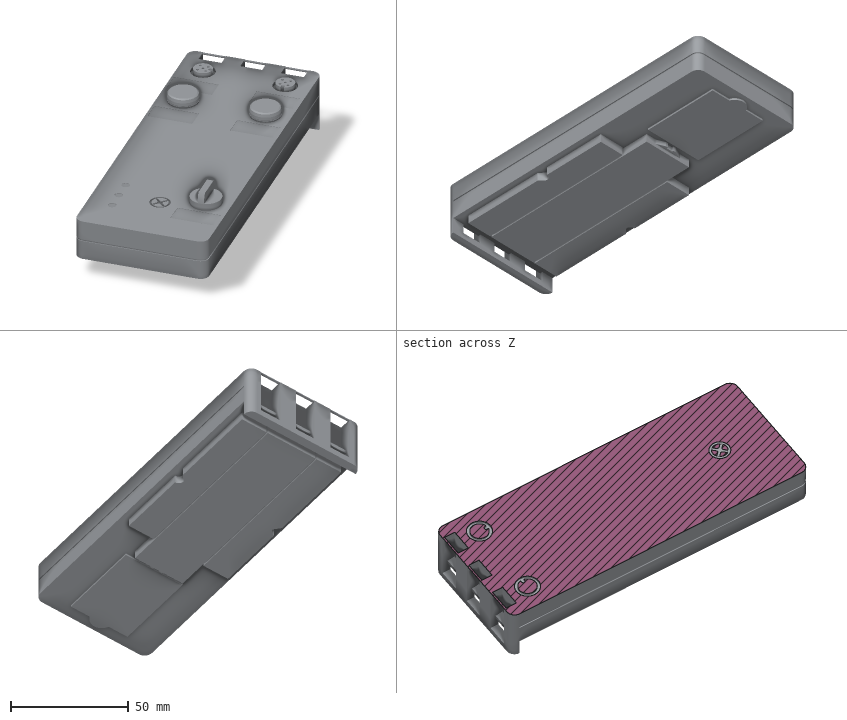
import cadquery as cq
import math

LENGTH = 152.0
WIDTH = 59.6
BODY_HEIGHT = 18.4
CORNER_RADIUS = 4.0
SEAM_HEIGHT = 0.8
SEAM_DEPTH = 0.5
SEAM_CENTER_Z = -9.3

FLANGE_HEIGHT = 26.1
FLANGE_THICKNESS = 4.0

COLUMN_X = 18.5

SIDE_WINDOW_WIDTH = 10.3
MIDDLE_WINDOW_WIDTH = 9.9
WINDOW_DEPTH = 6.1
WINDOW_BOTTOM_Z = -23.1
WINDOW_FLOOR_Z = -16.7
WINDOW_FLOOR_SETBACK = 2.6
WINDOW_FLOOR_RISE = 0.6
BRIDGE_THICKNESS = 1.0
BRIDGE_HEIGHT = 0.5
BRIDGE_TOP_Z = -0.2

SOCKET_Y = 60.6
SOCKET_RADIUS = 5.5
SOCKET_DEPTH = 1.5
INSERT_RADIUS = 4.3
INSERT_HEIGHT = 1.5
CONTACT_RADIUS = 0.6
CONTACT_DEPTH = 1.5
CONTACT_OFFSET = 1.8
KEY_RADIUS = 0.8
KEY_CENTER_RADIUS = 3.3

CAP_Y = 34.7
CAP_RADIUS = 7.0
CAP_HEIGHT = 4.4
CAP_FOOT_RADIUS = 6.8
CAP_RIM_RADIUS = 6.7
CAP_TOP_RADIUS = 6.1
CAP_BAND_TOP = 2.6
CAP_RIM_HEIGHT = 4.0
CAP_GROOVE_BOTTOM = 0.8
CAP_GROOVE_TOP = 1.2
CAP_GROOVE_RADIUS = 6.7

DIAL_Y = -43.6
DIAL_RADIUS = 7.0
DIAL_HEIGHT = 3.2
GRIP_WIDTH = 2.9
GRIP_TOP_Z = 7.9
GRIP_BASE_LENGTH = 14.0
GRIP_TOP_LENGTH = 11.2
GRIP_END_RADIUS = 12.2

INLAY_DEPTH = 0.2
LABEL_LENGTH = 20.0
LABEL_WIDTH = 9.1
LABEL_UPPER_Y = 47.5
LABEL_LOWER_Y = 21.7
LABEL_DIAL_Y = -56.4
LIGHT_RADIUS = 1.8
LIGHT_CENTER_Y = -49.9
LIGHT_PITCH = 9.0

SCREW_HOLE_RADIUS = 4.5
SCREW_HEAD_RADIUS = 3.6
SCREW_RECESS = 0.8
CROSS_WIDTH = 1.0
CROSS_CENTER_WIDTH = 2.5
CROSS_LENGTH = 7.0
CROSS_DEPTH = 0.9

PAD_DEPTH = 4.1
PAD_BACK_Y = 66.3
SIDE_PAD_FRONT_Y = -13.8
SIDE_PAD_INNER_X = 13.4
SIDE_PAD_OUTER_X = 26.5
MIDDLE_PAD_FRONT_Y = -27.7
MIDDLE_PAD_WIDTH = 25.4
NOTCH_BACK_Y = 24.3
NOTCH_RADIUS = 2.6
NOTCH_FLANK_LENGTH = 2.9

LATCH_BASE_WIDTH = 14.5
LATCH_TIP_WIDTH = 5.6
LATCH_NOTCH_WIDTH = 3.2
LATCH_REACH = 1.8
LATCH_NOTCH_DEPTH = 0.8
LATCH_HEIGHT = 2.3

FOOT_WIDTH = 30.1
FOOT_BACK_Y = -31.0
FOOT_FRONT_Y = -69.9
FOOT_THICKNESS = 0.9
NOSE_WIDTH = 10.0
NOSE_REACH = 3.5

BACK_Y = LENGTH / 2
UNDERSIDE_Z = -BODY_HEIGHT


def block(x_size, y_min, y_max, z_min, z_max, x=0.0):
    """Upright box centred on x."""
    return (
        cq.Workplane("XY", origin=(x, (y_min + y_max) / 2, z_min))
        .box(x_size, y_max - y_min, z_max - z_min, centered=(True, True, False))
    )


def disc(x, y, z_min, z_max, radius):
    """Upright cylinder."""
    return cq.Workplane("XY", origin=(x, y, z_min)).circle(radius).extrude(z_max - z_min)


def rounded_slab(z_min, z_max, inset=0.0):
    """Housing outline, drawn in by inset, between two heights."""
    half_length = LENGTH / 2 - inset
    slab = block(WIDTH - 2 * inset, -half_length, half_length, z_min, z_max)
    return slab.edges("|Z").fillet(CORNER_RADIUS - inset)


def make_housing():
    """Housing with its back flange and the seam groove around its sides and front."""
    outer = rounded_slab(-FLANGE_HEIGHT, 0.0)
    flange_y = BACK_Y - FLANGE_THICKNESS
    outer = outer.cut(block(WIDTH, -BACK_Y, flange_y, -FLANGE_HEIGHT, UNDERSIDE_Z))
    seam_bottom = SEAM_CENTER_Z - SEAM_HEIGHT / 2
    seam_top = SEAM_CENTER_Z + SEAM_HEIGHT / 2
    seam = block(WIDTH, -BACK_Y, flange_y, seam_bottom, seam_top)
    seam = seam.cut(rounded_slab(seam_bottom, seam_top, SEAM_DEPTH))
    return outer.cut(seam)


def strap_window(x, width):
    """Space that runs down from the top, out of the back and through the flange."""
    inner_y = BACK_Y - WINDOW_DEPTH
    lip_y = BACK_Y - WINDOW_FLOOR_SETBACK
    floor_run = lip_y - inner_y
    floor_arc_radius = (floor_run**2 + WINDOW_FLOOR_RISE**2) / (2 * WINDOW_FLOOR_RISE)
    upper = (
        cq.Workplane("YZ", origin=(x, 0, 0))
        .moveTo(BACK_Y, 0)
        .lineTo(inner_y, 0)
        .lineTo(inner_y, WINDOW_FLOOR_Z + WINDOW_FLOOR_RISE)
        .radiusArc((lip_y, WINDOW_FLOOR_Z), -floor_arc_radius)
        .lineTo(BACK_Y, WINDOW_FLOOR_Z)
        .close()
        .extrude(width / 2, both=True)
    )
    lower = block(width, lip_y, BACK_Y, WINDOW_BOTTOM_Z, WINDOW_FLOOR_Z, x)
    flange_gap = block(width, BACK_Y - FLANGE_THICKNESS, BACK_Y, WINDOW_BOTTOM_Z, UNDERSIDE_Z, x)
    bridge = block(width, BACK_Y - BRIDGE_THICKNESS, BACK_Y, BRIDGE_TOP_Z - BRIDGE_HEIGHT, BRIDGE_TOP_Z, x)
    return upper.union(lower).union(flange_gap).cut(bridge)


def make_pads():
    """Middle pad and two shorter side pads, each notched on its outer side."""
    z_min = UNDERSIDE_Z - PAD_DEPTH
    pads = block(MIDDLE_PAD_WIDTH, MIDDLE_PAD_FRONT_Y, PAD_BACK_Y, z_min, UNDERSIDE_Z)
    notch_x = SIDE_PAD_OUTER_X - NOTCH_RADIUS
    notch_bottom_y = NOTCH_BACK_Y - NOTCH_FLANK_LENGTH
    arc_offset = NOTCH_RADIUS * math.sqrt(0.5)
    side_pad = (
        cq.Workplane("XY", origin=(0, 0, z_min))
        .moveTo(SIDE_PAD_INNER_X, PAD_BACK_Y)
        .lineTo(SIDE_PAD_OUTER_X, PAD_BACK_Y)
        .lineTo(SIDE_PAD_OUTER_X, NOTCH_BACK_Y)
        .lineTo(notch_x, notch_bottom_y)
        .threePointArc(
            (SIDE_PAD_OUTER_X - arc_offset, notch_bottom_y - arc_offset),
            (SIDE_PAD_OUTER_X, notch_bottom_y - NOTCH_RADIUS),
        )
        .lineTo(SIDE_PAD_OUTER_X, SIDE_PAD_FRONT_Y)
        .lineTo(SIDE_PAD_INNER_X, SIDE_PAD_FRONT_Y)
        .close()
        .extrude(PAD_DEPTH)
    )
    return pads.union(side_pad).union(side_pad.mirror("YZ"))


def make_latch():
    """Tapered latch with a notch across its tip."""
    tip_y = MIDDLE_PAD_FRONT_Y - LATCH_REACH
    latch = (
        cq.Workplane("XY", origin=(0, 0, UNDERSIDE_Z - LATCH_HEIGHT))
        .moveTo(-LATCH_BASE_WIDTH / 2, MIDDLE_PAD_FRONT_Y)
        .lineTo(-LATCH_TIP_WIDTH / 2, tip_y)
        .lineTo(LATCH_TIP_WIDTH / 2, tip_y)
        .lineTo(LATCH_BASE_WIDTH / 2, MIDDLE_PAD_FRONT_Y)
        .close()
        .extrude(LATCH_HEIGHT)
    )
    notch = block(
        LATCH_NOTCH_WIDTH, tip_y, tip_y + LATCH_NOTCH_DEPTH, UNDERSIDE_Z - LATCH_HEIGHT, UNDERSIDE_Z
    )
    return latch.cut(notch)


def make_foot():
    """Foot plate with a rounded nose at its front."""
    return (
        cq.Workplane("XY", origin=(0, 0, UNDERSIDE_Z - FOOT_THICKNESS))
        .moveTo(-FOOT_WIDTH / 2, FOOT_BACK_Y)
        .lineTo(-FOOT_WIDTH / 2, FOOT_FRONT_Y)
        .lineTo(-NOSE_WIDTH / 2, FOOT_FRONT_Y)
        .threePointArc((0, FOOT_FRONT_Y - NOSE_REACH), (NOSE_WIDTH / 2, FOOT_FRONT_Y))
        .lineTo(FOOT_WIDTH / 2, FOOT_FRONT_Y)
        .lineTo(FOOT_WIDTH / 2, FOOT_BACK_Y)
        .close()
        .extrude(FOOT_THICKNESS)
    )


def make_insert(x, key_angle):
    """Contact carrier standing in a socket, with its key slot at key_angle degrees."""
    insert = disc(x, SOCKET_Y, -SOCKET_DEPTH, INSERT_HEIGHT, INSERT_RADIUS)
    contacts = [(0, 0)] + [(i * CONTACT_OFFSET, j * CONTACT_OFFSET) for i in (-1, 1) for j in (-1, 1)]
    for dx, dy in contacts:
        hole_bottom = INSERT_HEIGHT - CONTACT_DEPTH
        insert = insert.cut(disc(x + dx, SOCKET_Y + dy, hole_bottom, INSERT_HEIGHT, CONTACT_RADIUS))
    angle = math.radians(key_angle)
    key_x = x + KEY_CENTER_RADIUS * math.cos(angle)
    key_y = SOCKET_Y + KEY_CENTER_RADIUS * math.sin(angle)
    key_slot = disc(key_x, key_y, -SOCKET_DEPTH, INSERT_HEIGHT, KEY_RADIUS)
    mouth = (
        cq.Workplane("XY", origin=(key_x, key_y, -SOCKET_DEPTH))
        .transformed(rotate=(0, 0, key_angle))
        .box(INSERT_RADIUS, 2 * KEY_RADIUS, SOCKET_DEPTH + INSERT_HEIGHT, centered=(False, True, False))
    )
    return insert.cut(key_slot).cut(mouth)


def make_cap(x):
    """Cap turned from a flared foot, a grooved band and a tapered rim."""
    return (
        cq.Workplane("XZ", origin=(x, CAP_Y, 0))
        .lineTo(CAP_FOOT_RADIUS, 0)
        .lineTo(CAP_RADIUS, CAP_GROOVE_BOTTOM)
        .lineTo(CAP_GROOVE_RADIUS, CAP_GROOVE_BOTTOM)
        .lineTo(CAP_GROOVE_RADIUS, CAP_GROOVE_TOP)
        .lineTo(CAP_RADIUS, CAP_GROOVE_TOP)
        .lineTo(CAP_RADIUS, CAP_BAND_TOP)
        .lineTo(CAP_RIM_RADIUS, CAP_RIM_HEIGHT)
        .lineTo(CAP_TOP_RADIUS, CAP_HEIGHT)
        .lineTo(0, CAP_HEIGHT)
        .close()
        .revolve(360, (0, 0, 0), (0, 1, 0))
    )


def make_switch():
    """Round dial carrying a grip with curved ends."""
    dial = disc(COLUMN_X, DIAL_Y, 0.0, DIAL_HEIGHT, DIAL_RADIUS)
    grip = (
        cq.Workplane("YZ", origin=(COLUMN_X, DIAL_Y, 0))
        .moveTo(-GRIP_BASE_LENGTH / 2, DIAL_HEIGHT)
        .lineTo(GRIP_BASE_LENGTH / 2, DIAL_HEIGHT)
        .radiusArc((GRIP_TOP_LENGTH / 2, GRIP_TOP_Z), -GRIP_END_RADIUS)
        .lineTo(-GRIP_TOP_LENGTH / 2, GRIP_TOP_Z)
        .radiusArc((-GRIP_BASE_LENGTH / 2, DIAL_HEIGHT), -GRIP_END_RADIUS)
        .close()
        .extrude(GRIP_WIDTH / 2, both=True)
    )
    return dial.union(grip)


def label_field(x, y):
    """Shallow rectangular recess."""
    return block(LABEL_LENGTH, y - LABEL_WIDTH / 2, y + LABEL_WIDTH / 2, -INLAY_DEPTH, 0.0, x)


def screw_recess():
    """Ring around the screw head plus the diagonal cross slot in it."""
    y = LIGHT_CENTER_Y
    recess = disc(0, y, -SCREW_RECESS, 0.0, SCREW_HOLE_RADIUS)
    recess = recess.cut(disc(0, y, -SCREW_RECESS, 0.0, SCREW_HEAD_RADIUS))
    for angle in (45, -45):
        slot = (
            cq.Workplane("XY", origin=(0, y, -CROSS_DEPTH))
            .transformed(rotate=(0, 0, angle))
            .rect(CROSS_LENGTH, CROSS_WIDTH)
            .extrude(CROSS_DEPTH)
        )
        recess = recess.union(slot)
    center = block(
        CROSS_CENTER_WIDTH, y - CROSS_CENTER_WIDTH / 2, y + CROSS_CENTER_WIDTH / 2, -CROSS_DEPTH, 0.0
    )
    return recess.union(center)


result = make_housing().union(make_pads()).union(make_latch()).union(make_foot())

for window_x, window_width in (
    (-COLUMN_X, SIDE_WINDOW_WIDTH),
    (0.0, MIDDLE_WINDOW_WIDTH),
    (COLUMN_X, SIDE_WINDOW_WIDTH),
):
    result = result.cut(strap_window(window_x, window_width))

for column_x, key_direction in ((-COLUMN_X, 0), (COLUMN_X, -90)):
    result = result.cut(disc(column_x, SOCKET_Y, -SOCKET_DEPTH, 0.0, SOCKET_RADIUS))
    result = result.union(make_insert(column_x, key_direction))
    result = result.union(make_cap(column_x))
    for label_y in (LABEL_UPPER_Y, LABEL_LOWER_Y):
        result = result.cut(label_field(column_x, label_y))

result = result.union(make_switch()).cut(label_field(COLUMN_X, LABEL_DIAL_Y))

for row in (-1, 0, 1):
    light_y = LIGHT_CENTER_Y + row * LIGHT_PITCH
    result = result.cut(disc(-COLUMN_X, light_y, -INLAY_DEPTH, 0.0, LIGHT_RADIUS))

result = result.cut(screw_recess())